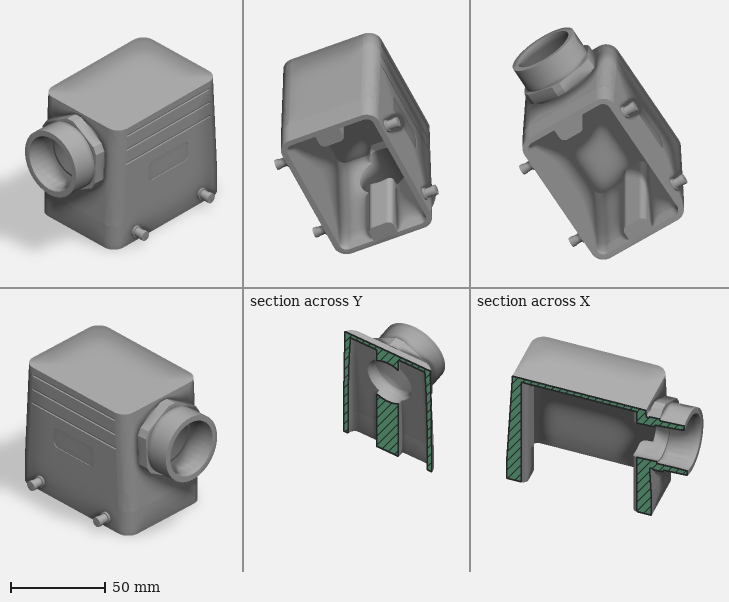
import cadquery as cq
import math

body_width = 56.1
base_length = 82.0
base_height = 14.9
body_height = 75.0
draft_angle = 3.0
corner_radius = 7.2
wall = 3.1
taper_height = body_height - base_height
draft_slope = math.tan(math.radians(draft_angle))
draft_sine = math.sin(math.radians(draft_angle))
draft_cosine = math.cos(math.radians(draft_angle))

post_width = 13.9
post_corner_radius = 3.1
post_inner_distance = 29.7

groove_width = 1.4
groove_depth = 1.0
groove_count = 3
groove_pitch = 8.8
first_groove_depth = 4.7
pad_length = 29.9
pad_height = 12.3
pad_radius = 3.1
pad_depth = 0.3
pad_middle_height = 39.0

pin_span = 70.8
pin_offset = 24.8
pin_height = 6.3
flange_diameter = 6.5
flange_length = 1.3
shank_diameter = 4.9
head_diameter = 5.5
head_length = 2.2

overall_length = 102.5
gland_height = 52.0
collar_diameter = 39.0
collar_length = 1.4
hex_across_flats = 39.8
hex_across_corners = 43.3
hex_length = 6.3
pipe_diameter = 38.0
mouth_diameter = 31.6
seat_diameter = 30.5
bore_diameter = 28.0
mouth_depth = 17.0
bore_reach = 20.5

gland_face_y = -base_length / 2 + (gland_height - base_height) * draft_slope
front_y = base_length / 2 - overall_length
mouth_middle_y = front_y + pipe_diameter / 2 * draft_sine
gland_length = (gland_face_y - mouth_middle_y) / draft_cosine


def rounded_block(width, length, radius, height):
    return (
        cq.Workplane("XY")
        .rect(width, length)
        .extrude(height)
        .edges("|Z")
        .fillet(radius)
    )


def rounded_outline(width, length, radius):
    return cq.Sketch().rect(width, length).vertices().fillet(radius)


def hood_shape(inset):
    """Outer form of the hood, or its cavity when the walls are set in by the wall thickness."""
    width = body_width - 2 * inset
    lower_length = base_length - 2 * inset
    radius = corner_radius - inset
    height = taper_height - inset
    upper_length = lower_length - 2 * height * draft_slope
    base = rounded_block(width, lower_length, radius, base_height)
    tapered = (
        cq.Workplane("XY")
        .workplane(offset=base_height)
        .placeSketch(
            rounded_outline(width, lower_length, radius),
            rounded_outline(width, upper_length, radius).moved(cq.Location(cq.Vector(0, 0, height))),
        )
        .loft(ruled=True)
    )
    return base.union(tapered)


def make_cavity():
    """Space inside the hood, with a round-edged post left standing on each end wall."""
    cavity = hood_shape(wall)
    post_length = base_length / 2
    for side in (-1, 1):
        post = rounded_block(post_width, post_length, post_corner_radius, body_height)
        cavity = cavity.cut(post.translate((0, side * (post_inner_distance + post_length / 2), 0)))
    return cavity


def at_side_face(shape, side):
    return shape.translate((side * body_width / 2, 0, 0))


def flat_length(height):
    """Length of a side face between its rounded corners, above the base."""
    return base_length - 2 * corner_radius - 2 * (height - base_height) * draft_slope


def groove(height):
    """Shallow groove that ends where the rounded corners begin."""
    low = height - groove_width / 2
    high = height + groove_width / 2
    return (
        cq.Workplane("YZ")
        .polyline([
            (-flat_length(low) / 2, low),
            (flat_length(low) / 2, low),
            (flat_length(high) / 2, high),
            (-flat_length(high) / 2, high),
        ])
        .close()
        .extrude(groove_depth, both=True)
    )


def label_pad():
    return (
        cq.Workplane("YZ")
        .center(0, pad_middle_height)
        .placeSketch(rounded_outline(pad_length, pad_height, pad_radius))
        .extrude(pad_depth, both=True)
    )


def pin():
    """Locking pin on the +X side, rooted in the side wall."""
    root = body_width / 2 - wall
    flange_end = body_width / 2 + flange_length
    pin_end = pin_span / 2
    head_start = pin_end - head_length
    profile = [
        (root, 0),
        (root, flange_diameter / 2),
        (flange_end, flange_diameter / 2),
        (flange_end, shank_diameter / 2),
        (head_start, shank_diameter / 2),
        (head_start, head_diameter / 2),
        (pin_end, head_diameter / 2),
        (pin_end, 0),
    ]
    return cq.Workplane("XY").polyline(profile).close().revolve(360, (0, 0, 0), (1, 0, 0))


gland_plane = cq.Plane(
    origin=(0, gland_face_y, gland_height),
    xDir=(1, 0, 0),
    normal=(0, -draft_cosine, draft_sine),
)


def gland_disc(diameter, start, length):
    return cq.Workplane(gland_plane).workplane(offset=start).circle(diameter / 2).extrude(length)


def hex_prism(across_flats, turn):
    return (
        cq.Workplane(gland_plane)
        .workplane(offset=collar_length)
        .transformed(rotate=(0, 0, turn))
        .polygon(6, across_flats, circumscribed=True)
        .extrude(hex_length)
    )


def make_gland():
    collar = gland_disc(collar_diameter, -wall / 2, collar_length + wall / 2)
    nut = hex_prism(hex_across_flats, 0).intersect(hex_prism(hex_across_corners, 30))
    pipe = gland_disc(pipe_diameter, 0, gland_length)
    return collar.union(nut).union(pipe)


def make_gland_bore():
    """Slightly flared mouth that steps down to a bore opening into the cavity."""
    mouth = (
        cq.Workplane(gland_plane)
        .workplane(offset=gland_length)
        .circle(mouth_diameter / 2)
        .workplane(offset=-mouth_depth)
        .circle(seat_diameter / 2)
        .loft(ruled=True)
    )
    return mouth.union(gland_disc(bore_diameter, -bore_reach, bore_reach + gland_length))


result = hood_shape(0)

for side in (-1, 1):
    for index in range(groove_count):
        groove_height = body_height - first_groove_depth - index * groove_pitch
        result = result.cut(at_side_face(groove(groove_height), side))
    result = result.cut(at_side_face(label_pad(), side))

result = result.union(make_gland()).cut(make_cavity()).cut(make_gland_bore())

for pin_y in (-pin_offset, pin_offset):
    right_pin = pin().translate((0, pin_y, pin_height))
    result = result.union(right_pin).union(right_pin.mirror("YZ"))